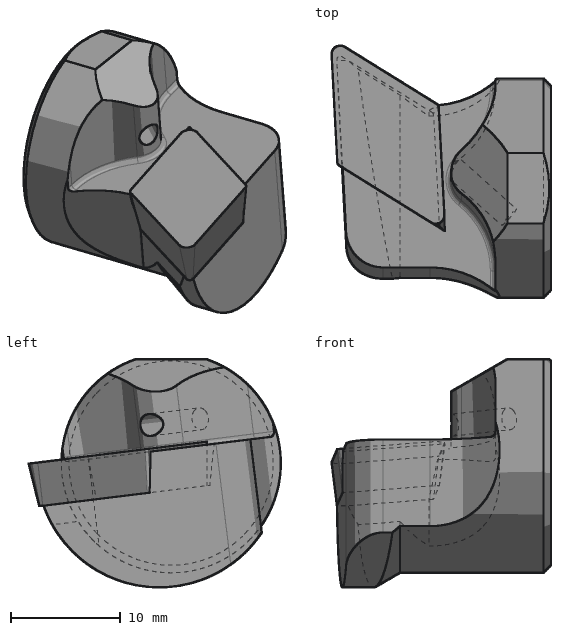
import cadquery as cq
import math

TILT = 7.0
SHANK_RADIUS = 10.0
SHANK_CHAMFER = 0.7
FLAT_HEIGHT = 9.48
FLAT_LENGTH = 3.98
SLOPE_ANGLE = 30.0
REACH = 27.6

HEAD_RADIUS = 11.2
HEAD_OFFSET = 1.08
NECK_END = -13.75
NECK_ANGLE = 30.0

FLOOR_HEIGHT = 1.26
FLOOR_FILLET = 0.45
WEB_HALF_WIDTH = 7.43
FLANK_END = -11.02
FLANK_RADIUS = 9.08
HEAD_CORNER_RADIUS = 3.34

WALL_X = -5.05
NOSE_X = -9.1
NOSE_CENTRE = 0.62
NOSE_HALF_WIDTH = 8.4
WALL_NOSE_RADIUS = 2.5
COOLANT_DIAMETER = 2.0
COOLANT_DEPTH = 6.9
COOLANT_ANGLE = 42.0
COOLANT_X = -8.95
COOLANT_Y = 1.5
COOLANT_Z = 3.68

INSERT_SIDE = 11.62
INSERT_THICKNESS = 3.98
INSERT_TOP = 1.55
INSERT_RELIEF = 7.0
INSERT_NOSE_RADIUS = 0.8
INSERT_SIDE_RADIUS = 0.4
INSERT_TIP_X = -20.08
INSERT_TIP_Y = 13.6
FRONT_LEAN = 3.0
TIP_ANGLE = 55.0


def direction(angle):
    """Unit vector at an angle in degrees from the +X axis."""
    return cq.Vector(math.cos(math.radians(angle)), math.sin(math.radians(angle)))


FRONT_DIRECTION = direction(FRONT_LEAN - 90)
SIDE_DIRECTION = direction(FRONT_LEAN + TIP_ANGLE - 90)
TIP = cq.Vector(INSERT_TIP_X, INSERT_TIP_Y)


def tilted(shape):
    return shape.rotate((0, 0, 0), (1, 0, 0), -TILT)


def tapered_prism(outline):
    """Solid from the insert's top face down, narrowing by the relief angle."""
    return (
        cq.Workplane("XY").workplane(offset=INSERT_TOP)
        .placeSketch(outline).extrude(-INSERT_THICKNESS, taper=INSERT_RELIEF)
    )


def rhombus():
    front_corner = TIP + FRONT_DIRECTION * INSERT_SIDE
    side_corner = TIP + SIDE_DIRECTION * INSERT_SIDE
    inner_corner = front_corner + SIDE_DIRECTION * INSERT_SIDE
    corners = (TIP, front_corner, inner_corner, side_corner, TIP)
    return cq.Sketch().polygon([(p.x, p.y) for p in corners])


def insert_seat():
    """Pocket with sharp corners, which clears the insert's rounded ones."""
    return tapered_prism(rhombus())


def make_insert():
    """Rhombic insert with conical rounding at its acute corners."""
    farthest_along = cq.selectors.DirectionMinMaxSelector
    long_diagonal = FRONT_DIRECTION + SIDE_DIRECTION
    outline = rhombus()
    for at_far_end in (True, False):
        outline = (
            outline.reset().vertices(farthest_along(long_diagonal, at_far_end))
            .fillet(INSERT_NOSE_RADIUS).reset()
        )
    insert = tapered_prism(outline)
    short_diagonal = SIDE_DIRECTION - FRONT_DIRECTION
    middle_z = INSERT_TOP - INSERT_THICKNESS / 2
    centre = TIP + long_diagonal * (INSERT_SIDE / 2)
    for side in (-1, 1):
        corner = centre + short_diagonal * (side * INSERT_SIDE / 2)
        nearest = cq.selectors.NearestToPointSelector((corner.x, corner.y, middle_z))
        insert = insert.edges(nearest).fillet(INSERT_SIDE_RADIUS)
    return tilted(insert)


def make_envelope():
    """Shank and wider, eccentric head, which a cone about the shank axis narrows, before any cuts."""
    shank = (
        cq.Workplane("YZ").circle(SHANK_RADIUS).extrude(-REACH)
        .faces(">X").chamfer(SHANK_CHAMFER)
    )
    front_radius = SHANK_RADIUS + (REACH + NECK_END) * math.tan(math.radians(NECK_ANGLE))
    neck_cone = (
        cq.Workplane("XY")
        .moveTo(-REACH, 0)
        .lineTo(-REACH, front_radius)
        .lineTo(NECK_END, SHANK_RADIUS)
        .lineTo(NECK_END, 0)
        .close()
        .revolve(360, (0, 0), (1, 0))
    )
    head = (
        cq.Workplane("YZ").center(HEAD_OFFSET, 0).circle(HEAD_RADIUS).extrude(-REACH)
        .intersect(neck_cone)
    )
    return shank.union(tilted(head))


def lower_prism():
    """Plan of the head below the chip space floor."""
    inset = INSERT_THICKNESS * math.tan(math.radians(INSERT_RELIEF))
    tip_shift = inset / math.sin(math.radians(TIP_ANGLE))
    tip = TIP + (FRONT_DIRECTION + SIDE_DIRECTION) * tip_shift
    side_length = (WEB_HALF_WIDTH - tip.y) / SIDE_DIRECTION.y
    side_end = tip + SIDE_DIRECTION * side_length
    front_length = (-WEB_HALF_WIDTH - tip.y) / FRONT_DIRECTION.y
    front_end = tip + FRONT_DIRECTION * front_length
    sweep_x = FLANK_END + FLANK_RADIUS
    sweep_y = WEB_HALF_WIDTH + FLANK_RADIUS
    mid_x = FLANK_END + FLANK_RADIUS * math.sin(math.radians(45))
    mid_y = sweep_y - FLANK_RADIUS * math.cos(math.radians(45))
    prism = (
        cq.Workplane("XY").workplane(offset=-REACH)
        .moveTo(tip.x, tip.y)
        .lineTo(front_end.x, front_end.y)
        .lineTo(FLANK_END, -WEB_HALF_WIDTH)
        .threePointArc((mid_x, -mid_y), (sweep_x, -sweep_y))
        .lineTo(REACH, -sweep_y)
        .lineTo(REACH, sweep_y)
        .lineTo(sweep_x, sweep_y)
        .threePointArc((mid_x, mid_y), (FLANK_END, WEB_HALF_WIDTH))
        .lineTo(side_end.x, side_end.y)
        .close()
        .extrude(2 * REACH)
    )
    corner = cq.selectors.NearestToPointSelector((front_end.x, front_end.y, 0))
    prism = prism.edges("|Z").edges(corner).fillet(HEAD_CORNER_RADIUS)
    tip_edge = cq.selectors.NearestToPointSelector((tip.x, tip.y, 0))
    return prism.edges("|Z").edges(tip_edge).fillet(INSERT_NOSE_RADIUS - inset)


def chip_space():
    """Space above the floor, in front of an S-shaped wall with a rounded nose."""
    turn = 2 * math.atan((WALL_X - NOSE_X) / NOSE_HALF_WIDTH)
    inflection_x = NOSE_X + WALL_NOSE_RADIUS * (1 - math.cos(turn))
    inflection_y = WALL_NOSE_RADIUS * math.sin(turn)
    low, high = NOSE_CENTRE - NOSE_HALF_WIDTH, NOSE_CENTRE + NOSE_HALF_WIDTH
    space = (
        cq.Workplane("XY").workplane(offset=FLOOR_HEIGHT)
        .moveTo(-REACH, -REACH)
        .lineTo(WALL_X, -REACH)
        .lineTo(WALL_X, low)
        .tangentArcPoint((inflection_x, NOSE_CENTRE - inflection_y), relative=False)
        .threePointArc((NOSE_X, NOSE_CENTRE), (inflection_x, NOSE_CENTRE + inflection_y))
        .tangentArcPoint((WALL_X, high), relative=False)
        .lineTo(WALL_X, REACH)
        .lineTo(-REACH, REACH)
        .close()
        .extrude(REACH)
    )
    wall_foot = space.faces("<Z").edges(cq.selectors.BoxSelector(
        (NOSE_X - 0.23, -REACH - 0.23, 0), (WALL_X + 0.23, REACH + 0.23, REACH), boundingbox=True))
    return space.newObject(wall_foot.vals()).fillet(FLOOR_FILLET)


def top_cut():
    """Material above the shank flat and above the slope in front of it."""
    slope_end_z = FLAT_HEIGHT - (REACH - FLAT_LENGTH) * math.tan(math.radians(SLOPE_ANGLE))
    profile = [
        (REACH, FLAT_HEIGHT),
        (-FLAT_LENGTH, FLAT_HEIGHT),
        (-REACH, slope_end_z),
        (-REACH, REACH),
        (REACH, REACH),
    ]
    return cq.Workplane("XZ").polyline(profile).close().extrude(REACH, both=True)


def coolant_hole():
    """Blind bore in the tilted frame, extended out past its mouth on the curved nose."""
    mouth = cq.Vector(COOLANT_X, COOLANT_Y, COOLANT_Z)
    inward = direction(-COOLANT_ANGLE)
    start = mouth - inward * COOLANT_DIAMETER
    length = COOLANT_DEPTH + COOLANT_DIAMETER
    return cq.Workplane(obj=cq.Solid.makeCylinder(COOLANT_DIAMETER / 2, length, start, inward))


def make_holder():
    above_floor = (
        cq.Workplane("XY").box(2 * REACH, 2 * REACH, REACH, centered=(True, True, False))
        .translate((0, 0, FLOOR_HEIGHT))
    )
    return (
        make_envelope()
        .intersect(tilted(lower_prism()))
        .cut(tilted(chip_space()))
        .cut(top_cut().intersect(tilted(above_floor)))
        .cut(tilted(coolant_hole()))
        .cut(tilted(insert_seat()))
    )


holder = make_holder()
insert = make_insert()
result = cq.Compound.makeCompound([holder.solids().val(), insert.solids().val()])